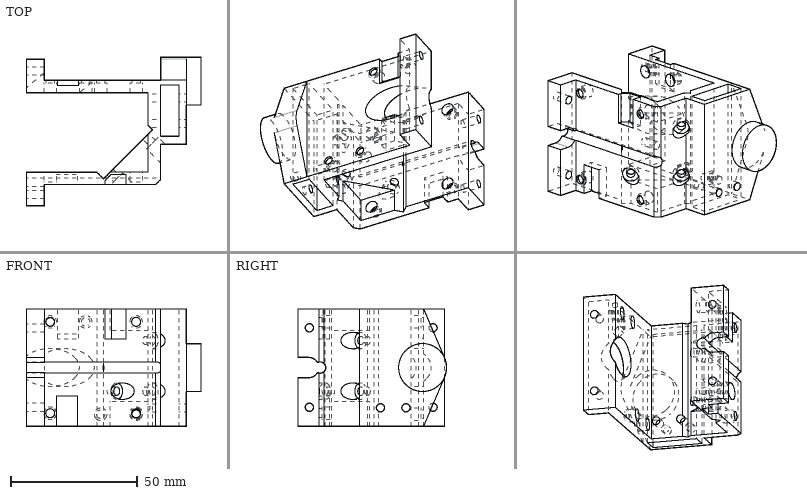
import cadquery as cq
import math

height = 46.5
mid_z = height / 2
length = 69.1
depth = 58.9

wall = 5.0
flange_length = 7.1
lower_outer_y = 8.4
lower_inner_y = lower_outer_y + wall
upper_inner_y = 44.8
upper_outer_y = upper_inner_y + wall
flange_top_y = 58.05
back_outer_x = 53.1
back_inner_x = back_outer_x - wall
outer_chamfer = 2.0

seat_offset = 19.7
lower_groove_tip_y = 10.8
back_groove_tip_x = 49.8
rib_bottom_z = 9.9
rib_top_z = 38.0

box_outer_x = 63.3
box_bottom_y = 24.4
cavity_x_max = 60.3
cavity_y_min = 27.6
cavity_y_max = 47.8
boss_diameter = 19.0
boss_y = depth - boss_diameter / 2

flange_hole_diameter = 3.2
flange_hole_ys = (4.55, 53.5)
flange_hole_inset_z = 7.5
back_hole_diameter = 3.2
back_hole_ys = (32.7, 42.8)
back_hole_z = 7.3

groove_diameter = 4.35
groove_y = 8.85
slot_width = 7.95
slot_end_y = 4.3

hole_inset_z = 5.2
first_hole_x = 9.4
last_hole_x = 43.4
hole_pitch = 14.0
lower_hole_diameter = 3.5
upper_hole_diameter = 3.3
upper_hole_bottom_z = 4.8
head_diameter = 5.0
head_depth = 3.95

pocket_length = 8.3
pocket_height = 12.0
lower_pocket_depth = 4.1
lower_pocket_top_x = 31.1
lower_pocket_bottom_x = 11.9
lower_pocket_chamfer = 2.5
upper_pocket_depth = 2.0
upper_pocket_x = 12.3

screw_diameter = 3.3
counterbore_diameter = 6.5
counterbore_start = 3.7
screw_points = ((47.2, 33.9), (47.2, 13.9), (33.1, 13.9))

bore_diameter = 15.0
bore_center_x = 9.25
bore_angle = 40.0

overcut = 34.55


def box_between(x_range, y_range, z_range):
    """Axis-aligned box given by its limits along each axis."""
    size = [high - low for low, high in (x_range, y_range, z_range)]
    corner = (x_range[0], y_range[0], z_range[0])
    return cq.Workplane("XY").box(*size, centered=False).translate(corner)


def rod(start, direction, diameter, rod_length):
    """Round bar from a start point along a direction."""
    return cq.Workplane(
        cq.Solid.makeCylinder(diameter / 2, rod_length, cq.Vector(*start), cq.Vector(*direction))
    )


def make_bracket():
    """C-shaped body with the two V grooves, plus the rib that forms the mirror seat."""
    lower_tip_x = lower_groove_tip_y + seat_offset
    lower_groove_depth = lower_inner_y - lower_groove_tip_y
    back_tip_y = back_groove_tip_x - seat_offset
    back_groove_depth = back_groove_tip_x - back_inner_x
    seat_low = (lower_inner_y + seat_offset, lower_inner_y)
    seat_high = (back_inner_x, back_inner_x - seat_offset)
    outline = [
        (0, 0),
        (flange_length, 0),
        (flange_length, lower_outer_y),
        (back_outer_x - outer_chamfer, lower_outer_y),
        (back_outer_x, lower_outer_y + outer_chamfer),
        (back_outer_x, upper_outer_y),
        (flange_length, upper_outer_y),
        (flange_length, flange_top_y),
        (0, flange_top_y),
        (0, upper_inner_y),
        (back_inner_x, upper_inner_y),
        (back_inner_x, back_tip_y + back_groove_depth),
        (back_groove_tip_x, back_tip_y),
        seat_high,
        (back_inner_x, lower_inner_y),
        seat_low,
        (lower_tip_x, lower_groove_tip_y),
        (lower_tip_x - lower_groove_depth, lower_inner_y),
        (0, lower_inner_y),
    ]
    body = cq.Workplane("XY").polyline(outline).close().extrude(height)
    corner = (back_inner_x, lower_inner_y)
    rib = (
        cq.Workplane("XY").workplane(offset=rib_bottom_z)
        .polyline([seat_low, corner, seat_high]).close().extrude(rib_top_z - rib_bottom_z)
    )
    return body.union(rib)


def make_box_and_boss():
    """Box with a gusset running tangent from its upper corners to the boss."""
    box = box_between((back_outer_x, box_outer_x), (box_bottom_y, upper_outer_y), (0, height))

    corner_y = upper_outer_y - boss_y
    corner_distance = math.hypot(corner_y, mid_z)
    tangent_angle = math.atan2(mid_z, corner_y) - math.acos(boss_diameter / 2 / corner_distance)
    tangent_y = boss_y + boss_diameter / 2 * math.cos(tangent_angle)
    tangent_z = boss_diameter / 2 * math.sin(tangent_angle)
    gusset = (
        cq.Workplane("YZ").workplane(offset=back_outer_x)
        .polyline([
            (boss_y, 0),
            (upper_outer_y, 0),
            (tangent_y, mid_z - tangent_z),
            (tangent_y, mid_z + tangent_z),
            (upper_outer_y, height),
            (boss_y, height),
        ])
        .close().extrude(box_outer_x - back_outer_x)
    )
    boss = rod((back_outer_x, boss_y, mid_z), (1, 0, 0), boss_diameter, length - back_outer_x)
    cavity = box_between((back_outer_x, cavity_x_max), (cavity_y_min, cavity_y_max), (0, height))
    return box.union(gusset).union(boss).cut(cavity)


def cut_x_holes(part):
    """Flange holes and the pair of holes through the back wall and box."""
    for y in flange_hole_ys:
        for z in (flange_hole_inset_z, height - flange_hole_inset_z):
            part = part.cut(rod((0, y, z), (1, 0, 0), flange_hole_diameter, flange_length))
    for y in back_hole_ys:
        part = part.cut(rod((back_inner_x, y, back_hole_z), (1, 0, 0), back_hole_diameter, overcut))
    return part


def cut_groove_and_slot(part):
    """Round groove along the lower wall, and the round-ended slot in its flange."""
    groove = rod((0, groove_y, mid_z), (1, 0, 0), groove_diameter, back_outer_x)
    slot_end = rod((0, slot_end_y, mid_z), (1, 0, 0), slot_width, flange_length)
    slot_z = (mid_z - slot_width / 2, mid_z + slot_width / 2)
    slot = box_between((0, flange_length), (0, slot_end_y), slot_z)
    return part.cut(groove).cut(slot_end).cut(slot)


def cut_y_holes(part):
    """Four holes in the lower wall and two staggered pairs in the upper wall."""
    bottom_z = hole_inset_z
    top_z = height - hole_inset_z
    for x in (first_hole_x, last_hole_x):
        for z in (bottom_z, top_z):
            part = part.cut(rod((x, lower_outer_y, z), (0, 1, 0), lower_hole_diameter, wall))
            part = part.cut(rod((x, lower_inner_y, z), (0, -1, 0), head_diameter, head_depth))
    upper_points = (
        (first_hole_x, top_z),
        (first_hole_x + hole_pitch, top_z),
        (last_hole_x - hole_pitch, upper_hole_bottom_z),
        (last_hole_x, upper_hole_bottom_z),
    )
    for x, z in upper_points:
        part = part.cut(rod((x, upper_inner_y, z), (0, 1, 0), upper_hole_diameter, wall))
        part = part.cut(rod((x, upper_inner_y, z), (0, 1, 0), head_diameter, head_depth))
    return part


def cut_pockets(part):
    """Two pockets in the lower wall and one with a 45 degree floor in the upper wall."""
    pocket_floor_z = height - pocket_height
    lower_y = (lower_outer_y, lower_outer_y + lower_pocket_depth)
    top_x = (lower_pocket_top_x, lower_pocket_top_x + pocket_length)
    bottom_x = (lower_pocket_bottom_x, lower_pocket_bottom_x + pocket_length)
    top_pocket = box_between(top_x, lower_y, (pocket_floor_z, height))
    top_pocket = top_pocket.edges("|Z and <X and >Y").chamfer(lower_pocket_chamfer)
    bottom_pocket = box_between(bottom_x, lower_y, (0, pocket_height))

    upper_floor_y = upper_outer_y - upper_pocket_depth
    sloped_pocket = (
        cq.Workplane("YZ").workplane(offset=upper_pocket_x)
        .polyline([
            (upper_outer_y, pocket_floor_z),
            (upper_outer_y, height),
            (upper_floor_y, height),
            (upper_floor_y, pocket_floor_z + upper_pocket_depth),
        ])
        .close().extrude(pocket_length)
    )
    return part.cut(top_pocket).cut(bottom_pocket).cut(sloped_pocket)


def cut_seat_screws(part):
    """Screw holes square to the mirror seat, counterbored from outside."""
    step = counterbore_start * math.sqrt(0.5)
    for x, z in screw_points:
        y = x - seat_offset
        part = part.cut(rod((x, y, z), (1, -1, 0), screw_diameter, counterbore_start))
        counterbore_point = (x + step, y - step, z)
        part = part.cut(rod(counterbore_point, (1, -1, 0), counterbore_diameter, overcut))
    return part


def cut_tilted_bore(part):
    """Bore through the upper wall, leaning toward the back wall as it goes outward."""
    run = math.cos(math.radians(bore_angle))
    rise = math.sin(math.radians(bore_angle))
    start = (bore_center_x - run * overcut / 2, upper_inner_y - rise * overcut / 2, mid_z)
    return part.cut(rod(start, (run, rise, 0), bore_diameter, overcut))


result = make_bracket().union(make_box_and_boss())
result = cut_x_holes(result)
result = cut_groove_and_slot(result)
result = cut_y_holes(result)
result = cut_pockets(result)
result = cut_seat_screws(result)
result = cut_tilted_bore(result)